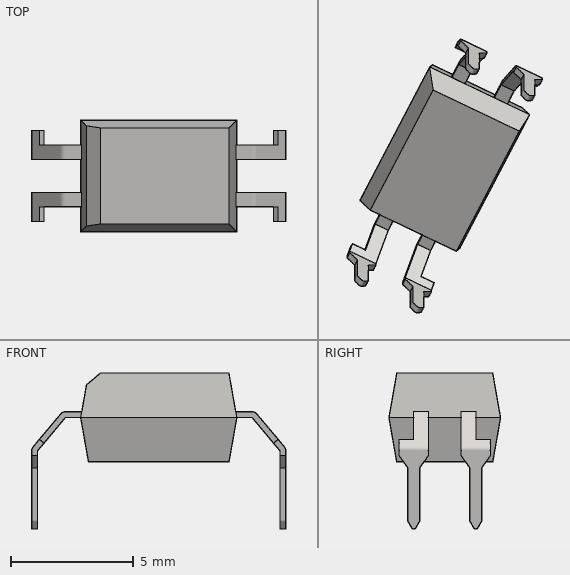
import cadquery as cq
import math


housing_length = 6.4
housing_width = 4.58
housing_top = 1.84
housing_depth = 1.81
draft_angle = 10.0
pin_one_chamfer = 0.5

lead_thickness = 0.25
overall_span = 10.41
overall_height = 6.4
slope_angle = 50.0
slope_drop = 1.35
flange_length = 0.4

lead_pitch = 2.54
flange_width = 1.2
arm_width = flange_width / 2
blade_width = 0.5
flange_skirt = 0.2
taper_height = 0.5
tip_angle = 60.0
tip_radius = 0.1

slope_sin = math.sin(math.radians(slope_angle))
slope_cos = math.cos(math.radians(slope_angle))
draft_tan = math.tan(math.radians(draft_angle))
outer_x = overall_span / 2
inner_x = outer_x - lead_thickness
upper_bend_x = inner_x - slope_drop * slope_cos / slope_sin
lower_bend_z = -slope_drop
upper_corner = (upper_bend_x, 0)
lower_corner = (inner_x, lower_bend_z)
slope_normal_angle = 90 - slope_angle
skirt_z = lower_bend_z - flange_skirt
taper_z = skirt_z - taper_height
tip_z = housing_top - overall_height

tip_rise_per_width = math.tan(math.radians(tip_angle))
tip_rounding_lift = tip_radius * (1 / math.cos(math.radians(tip_angle)) - 1)
sharp_tip_z = tip_z - tip_rounding_lift
tip_shoulder_z = sharp_tip_z + blade_width / 2 * tip_rise_per_width


def make_housing():
    """Two drafted halves, with the pin-one edge chamfered on the -X side."""
    upper = cq.Workplane("XY").rect(housing_length, housing_width).extrude(housing_top, taper=draft_angle)
    lower = cq.Workplane("XY").rect(housing_length, housing_width).extrude(-housing_depth, taper=draft_angle)
    upper = upper.faces(">Z").edges("<X").chamfer(pin_one_chamfer)
    return upper.union(lower)


def off_slope(point, distance):
    """Step from a point on the inner slope line, square to the slope and outward."""
    return (point[0] + distance * slope_sin, point[1] + distance * slope_cos)


def bend_middle(corner, angle):
    """Point on the outer face of a bend, at an angle above +X about its inner corner."""
    turn = math.radians(angle)
    return (corner[0] + lead_thickness * math.cos(turn), corner[1] + lead_thickness * math.sin(turn))


def make_arm():
    """Narrow inner strip, from the drafted housing wall to the lower bend."""
    wall_x = housing_length / 2
    return (
        cq.Workplane("XZ")
        .moveTo(wall_x, 0)
        .lineTo(*upper_corner)
        .lineTo(*lower_corner)
        .lineTo(*off_slope(lower_corner, lead_thickness))
        .lineTo(*off_slope(upper_corner, lead_thickness))
        .threePointArc(
            bend_middle(upper_corner, (90 + slope_normal_angle) / 2),
            (upper_bend_x, lead_thickness),
        )
        .lineTo(wall_x - lead_thickness * draft_tan, lead_thickness)
        .close()
        .extrude(arm_width)
    )


def make_flange():
    """Full-width strip around the lower bend."""
    flange_start = (inner_x - flange_length * slope_cos, lower_bend_z + flange_length * slope_sin)
    return (
        cq.Workplane("XZ")
        .moveTo(*flange_start)
        .lineTo(*lower_corner)
        .lineTo(inner_x, skirt_z)
        .lineTo(outer_x, skirt_z)
        .lineTo(outer_x, lower_bend_z)
        .threePointArc(
            bend_middle(lower_corner, slope_normal_angle / 2),
            off_slope(lower_corner, lead_thickness),
        )
        .lineTo(*off_slope(flange_start, lead_thickness))
        .close()
        .extrude(flange_width / 2, both=True)
    )


def make_blade():
    """Flat blade that tapers in from the flange and ends in a rounded tip."""
    blade = (
        cq.Workplane("YZ", origin=(inner_x, 0, 0))
        .moveTo(-flange_width / 2, skirt_z)
        .lineTo(-blade_width / 2, taper_z)
        .lineTo(-blade_width / 2, tip_shoulder_z)
        .lineTo(0, sharp_tip_z)
        .lineTo(blade_width / 2, tip_shoulder_z)
        .lineTo(blade_width / 2, taper_z)
        .lineTo(flange_width / 2, skirt_z)
        .close()
        .extrude(lead_thickness)
    )
    tip_edges = cq.selectors.BoxSelector(
        (0, -blade_width, sharp_tip_z - tip_radius),
        (overall_span, blade_width, tip_shoulder_z + tip_radius),
    )
    return blade.edges("|X").edges(tip_edges).fillet(tip_radius)


def make_lead():
    """Lead at the +X, +Y corner; its arm lies on the side nearer the middle."""
    lead = make_arm().union(make_flange()).union(make_blade())
    return lead.translate((0, lead_pitch / 2, 0))


housing = make_housing()

right_back_lead = make_lead()
leads = []
for row_lead in (right_back_lead, right_back_lead.mirror("YZ")):
    leads.append(row_lead)
    leads.append(row_lead.mirror("XZ"))

result = cq.Compound.makeCompound([housing.solids().val(), *[lead.solids().val() for lead in leads]])